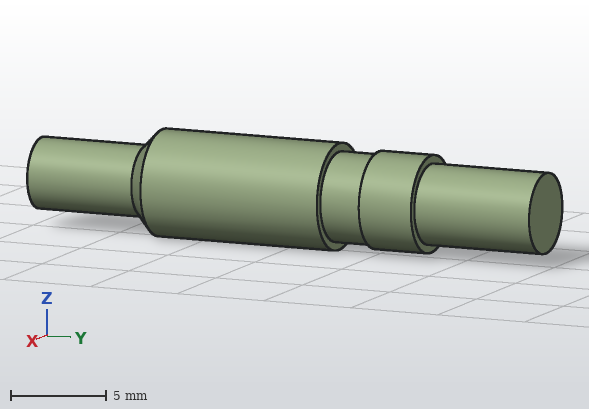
import cadquery as cq

front_pin_diameter = 3.8
body_diameter = 5.7
groove_diameter = 4.8
collar_diameter = 5.2
rear_pin_diameter = 4.3

front_pin_length = 6.0
shoulder_length = (body_diameter - front_pin_diameter) / 2
body_length = 10.15
groove_length = 2.3
collar_length = 3.0
rear_pin_length = 6.6

sections = [
    (front_pin_length, front_pin_diameter, front_pin_diameter),
    (shoulder_length, front_pin_diameter, body_diameter),
    (body_length, body_diameter, body_diameter),
    (groove_length, groove_diameter, groove_diameter),
    (collar_length, collar_diameter, collar_diameter),
    (rear_pin_length, rear_pin_diameter, rear_pin_diameter),
]
total_length = sum(length for length, _, _ in sections)


def half_profile():
    """Outline points (radius, y) of the solid, from the axis out and back to it."""
    y = -total_length / 2
    points = [(0, y)]
    for length, start_diameter, end_diameter in sections:
        start = (start_diameter / 2, y)
        if start != points[-1]:
            points.append(start)
        y += length
        points.append((end_diameter / 2, y))
    points.append((0, y))
    return points


result = cq.Workplane("XY").polyline(half_profile()).close().revolve(360, (0, 0), (0, 1))